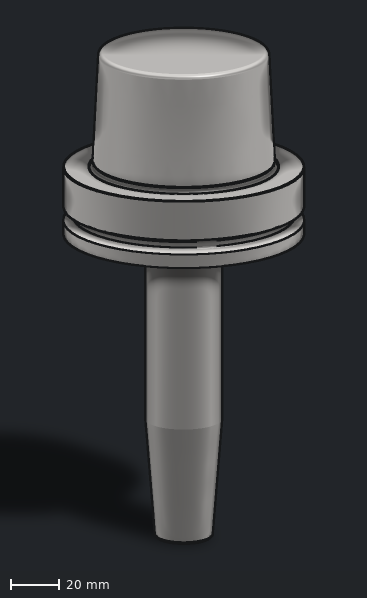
import cadquery as cq
import math


shank_length = 49.9
gauge_radius = 37.5
gauge_height = 10.0
shank_slope = 1 / 20
shank_edge_radius = 2.0

relief_height = 2.5
relief_bevel = 0.7
relief_radius = 37.4
relief_fillet_radius = 1.0
recess_radius = 39.5
recess_depth = 0.4

flange_radius = 50.0
flange_thickness = 29.0
flange_chamfer = 0.3
groove_floor_radius = 46.0
groove_floor_width = 3.9
groove_corner_radius = 1.0
groove_center_depth = 20.1
groove_wall_angle = 15.0

nose_end_depth = 160.0
nose_radius = 16.0
nose_fillet_radius = 10.0
tip_radius = 12.0
tip_taper_angle = 4.5
tip_chamfer = 1.0


def shank_radius_at(height):
    return gauge_radius - shank_slope * (height - gauge_height)


def make_shank():
    fillet_reach = relief_fillet_radius * math.sqrt(0.5)
    fillet_center_radius = relief_radius + relief_fillet_radius
    fillet_center_height = relief_fillet_radius - recess_depth
    fillet_middle = (fillet_center_radius - fillet_reach, fillet_center_height - fillet_reach)
    outline = (
        cq.Workplane("XZ")
        .moveTo(0, -recess_depth)
        .lineTo(fillet_center_radius, -recess_depth)
        .threePointArc(fillet_middle, (relief_radius, fillet_center_height))
        .lineTo(relief_radius, relief_height - relief_bevel)
        .lineTo(shank_radius_at(relief_height), relief_height)
        .lineTo(shank_radius_at(shank_length), shank_length)
        .lineTo(0, shank_length)
        .close()
    )
    shank = outline.revolve(360, (0, 0, 0), (0, 1, 0))
    return shank.faces(">Z").edges().fillet(shank_edge_radius)


def make_flange():
    groove_depth = flange_radius - groove_floor_radius
    wall_drop = groove_depth * math.tan(math.radians(groove_wall_angle))
    floor_top = -groove_center_depth + groove_floor_width / 2
    floor_bottom = -groove_center_depth - groove_floor_width / 2
    outline = (
        cq.Workplane("XZ")
        .moveTo(0, -flange_thickness)
        .lineTo(flange_radius, -flange_thickness)
        .lineTo(flange_radius, floor_bottom - wall_drop)
        .lineTo(groove_floor_radius, floor_bottom)
        .lineTo(groove_floor_radius, floor_top)
        .lineTo(flange_radius, floor_top + wall_drop)
        .lineTo(flange_radius, -flange_chamfer)
        .lineTo(flange_radius - flange_chamfer, 0)
        .lineTo(recess_radius, 0)
        .lineTo(recess_radius - recess_depth, -recess_depth)
        .lineTo(0, -recess_depth)
        .close()
    )
    flange = outline.revolve(360, (0, 0, 0), (0, 1, 0))
    floor_corners = cq.selectors.BoxSelector(
        (-flange_radius, -flange_radius, floor_bottom - wall_drop / 2),
        (flange_radius, flange_radius, floor_top + wall_drop / 2),
    )
    return flange.edges("%CIRCLE").edges(floor_corners).fillet(groove_corner_radius)


def make_nose():
    taper_slope = math.tan(math.radians(tip_taper_angle))
    taper_length = (nose_radius - tip_radius) / taper_slope
    chamfer_top_radius = tip_radius + tip_chamfer * taper_slope
    fillet_center_radius = nose_radius + nose_fillet_radius
    fillet_end_depth = flange_thickness + nose_fillet_radius
    fillet_reach = nose_fillet_radius * math.sqrt(0.5)
    fillet_middle = (fillet_center_radius - fillet_reach, -fillet_end_depth + fillet_reach)
    outline = (
        cq.Workplane("XZ")
        .moveTo(0, -flange_thickness)
        .lineTo(fillet_center_radius, -flange_thickness)
        .threePointArc(fillet_middle, (nose_radius, -fillet_end_depth))
        .lineTo(nose_radius, -nose_end_depth + taper_length)
        .lineTo(chamfer_top_radius, -nose_end_depth + tip_chamfer)
        .lineTo(chamfer_top_radius - tip_chamfer, -nose_end_depth)
        .lineTo(0, -nose_end_depth)
        .close()
    )
    return outline.revolve(360, (0, 0, 0), (0, 1, 0))


result = make_flange().union(make_shank()).union(make_nose())